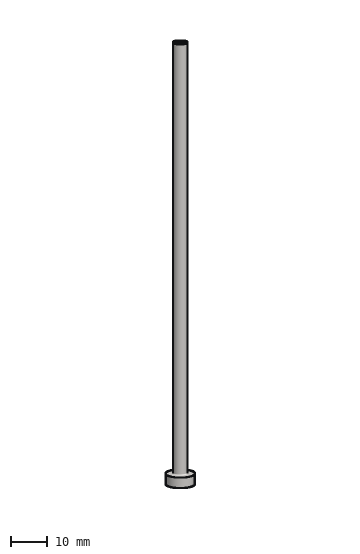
import cadquery as cq

total_length = 125.0
head_diameter = 8.0
head_height = 3.0
tube_diameter = 4.0
bore_diameter = 2.0
root_fillet = 0.3

head_radius = head_diameter / 2
tube_radius = tube_diameter / 2
bore_radius = bore_diameter / 2

half_section = (
    cq.Workplane("XZ")
    .moveTo(bore_radius, 0)
    .lineTo(head_radius, 0)
    .lineTo(head_radius, head_height)
    .lineTo(tube_radius + root_fillet, head_height)
    .tangentArcPoint((tube_radius, head_height + root_fillet), relative=False)
    .lineTo(tube_radius, total_length)
    .lineTo(bore_radius, total_length)
    .close()
)

result = half_section.revolve(360, (0, 0, 0), (0, 1, 0))